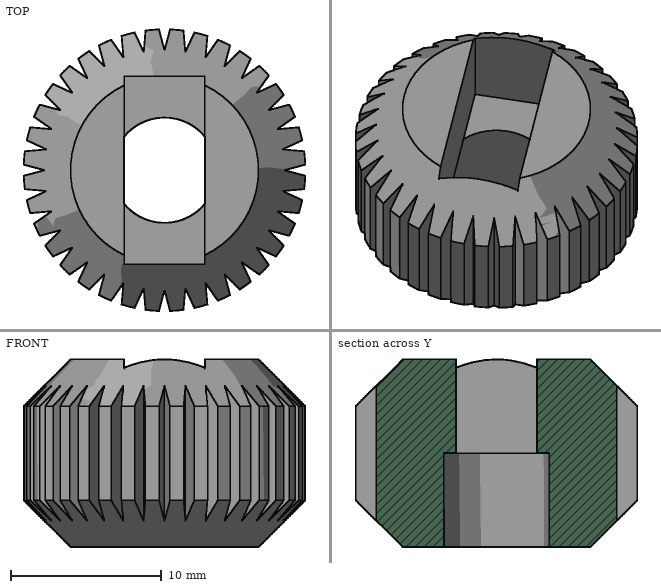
import cadquery as cq
import math

height = 12.5
width = 18.73
groove_count = 36
groove_mouth = 0.73
groove_root_radius = 8.0
slot_width = 5.35
slot_length = 12.5
end_radius = slot_length / 2
slot_depth = height / 2
hole_diameter = 6.99

rim_radius = math.hypot(width / 2, groove_mouth / 2)
chamfer = rim_radius - end_radius
cut_margin = 0.19


def make_body():
    """Cylinder with a 45 degree chamfer at each end, standing on Z = 0."""
    return cq.Workplane("XY").circle(rim_radius).extrude(height).edges().chamfer(chamfer)


def make_grooves():
    """V grooves along the full height, evenly spaced around the rim."""
    groove_depth = width / 2 - groove_root_radius
    reach = width / 2 + cut_margin
    half_width = groove_mouth / 2 * (groove_depth + cut_margin) / groove_depth
    groove = (
        cq.Workplane("XY")
        .moveTo(groove_root_radius, 0)
        .lineTo(reach, half_width)
        .lineTo(reach, -half_width)
        .close()
        .extrude(height)
    )
    grooves = cq.Workplane("XY")
    for index in range(groove_count):
        angle = index * 360 / groove_count
        grooves = grooves.add(groove.rotate((0, 0, 0), (0, 0, 1), angle))
    return grooves.combine()


def make_slot():
    """Rectangular pocket, long along Y, open at the top face."""
    return (
        cq.Workplane("XY", origin=(0, 0, height))
        .rect(slot_width, slot_length)
        .extrude(-slot_depth)
    )


def make_hole():
    """Round hole from the bottom face up to the slot floor."""
    return cq.Workplane("XY").circle(hole_diameter / 2).extrude(height - slot_depth)


result = make_body().cut(make_grooves()).cut(make_slot()).cut(make_hole())